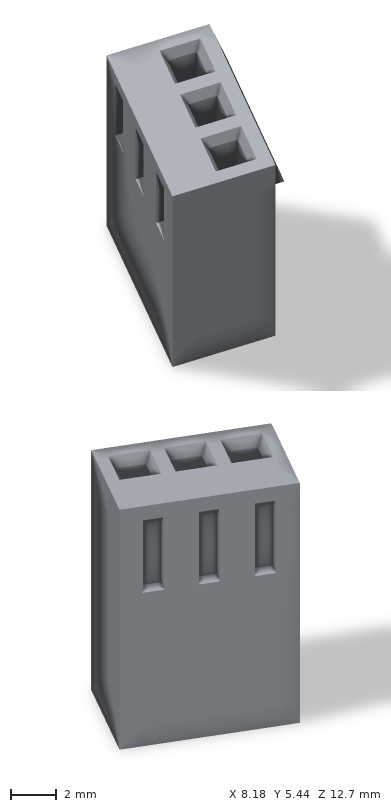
import cadquery as cq

width = 8.18
depth = 4.83
height = 12.7

contact_count = 3
pitch = 2.54
contact_y = 3.21
contact_xs = [(i - (contact_count - 1) / 2) * pitch for i in range(contact_count)]

mouth_size = 1.9
channel_size = 1.37
mouth_depth = 0.52

window_width = 0.95
window_height = 3.84
window_depth = 0.62
window_top_gap = 0.75

wedge_width = 7.16
wedge_reach = 5.44 - depth
wedge_height = 2.17


def housing():
    return cq.Workplane("XY").box(width, depth, height, centered=(True, False, False))


def locking_wedge():
    """Wedge that starts flush at the top edge and ends in a square ledge."""
    ledge_z = height - wedge_height
    return (
        cq.Workplane("YZ")
        .polyline([(depth, height), (depth, ledge_z), (depth + wedge_reach, ledge_z)])
        .close()
        .extrude(wedge_width / 2, both=True)
    )


def contact_opening(x):
    channel = (
        cq.Workplane("XY")
        .center(x, contact_y)
        .rect(channel_size, channel_size)
        .extrude(height)
    )
    mouth = (
        cq.Workplane("XY", origin=(x, contact_y, height))
        .rect(mouth_size, mouth_size)
        .workplane(offset=-mouth_depth)
        .rect(channel_size, channel_size)
        .loft(ruled=True)
    )
    return channel.union(mouth)


def front_window(x):
    bottom_z = height - window_top_gap - window_height
    return (
        cq.Workplane("XY", origin=(x, 0, bottom_z))
        .box(window_width, window_depth, window_height, centered=(True, False, False))
    )


result = housing().union(locking_wedge())
for contact_x in contact_xs:
    result = result.cut(contact_opening(contact_x))
    result = result.cut(front_window(contact_x))